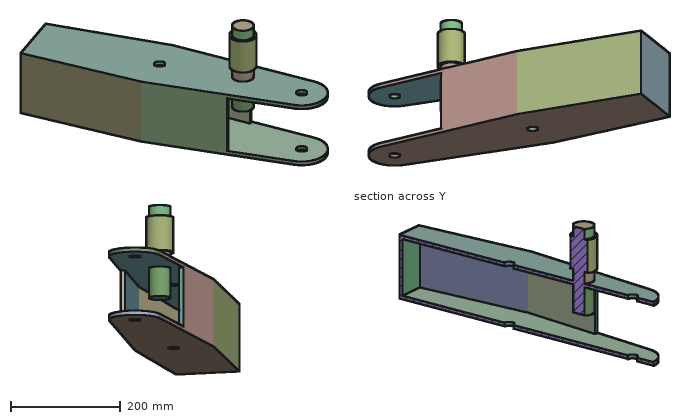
import cadquery as cq
import math


rear_half_width = 60.0
widest_x = 245.5
widest_half_width = 74.5
nose_radius = 48.0
pivot_hole_x = 251.0
arm_length = 580.82
nose_x = arm_length - nose_radius

plate_thickness = 8.0
wall_thickness = 8.0
plate_gap = 110.0
arm_height = plate_gap + 2 * plate_thickness
wall_end_x = 409.0
hole_diameter = 20.0

pin_x = 410.0
pin_y = 15.0
pin_diameter = 40.0
pin_length = 170.0
pin_top_z = 233.0
sleeve_diameter = 50.0
sleeve_length = 65.0
pin_tip_length = 20.0
sleeve_top_z = pin_top_z - pin_tip_length


def nose_tangent_point():
    """Upper point where the line from the widest corner touches the nose arc."""
    dx = widest_x - nose_x
    to_corner = math.atan2(widest_half_width, dx)
    spread = math.acos(nose_radius / math.hypot(dx, widest_half_width))
    angle = to_corner - spread
    return nose_x + nose_radius * math.cos(angle), nose_radius * math.sin(angle)


def arm_outline(base_z):
    """Closed outline of the arm at height base_z."""
    tangent_x, tangent_y = nose_tangent_point()
    return (
        cq.Workplane("XY", origin=(0, 0, base_z))
        .moveTo(0, -rear_half_width)
        .lineTo(widest_x, -widest_half_width)
        .lineTo(tangent_x, -tangent_y)
        .threePointArc((arm_length, 0), (tangent_x, tangent_y))
        .lineTo(widest_x, widest_half_width)
        .lineTo(0, rear_half_width)
        .close()
    )


def cavity():
    """Space inside the side and rear walls, between the plates."""
    return arm_outline(plate_thickness).offset2D(-wall_thickness).extrude(plate_gap)


def fork_slot():
    """Full-width gap between the plates, ahead of the side walls."""
    return cq.Workplane("XY", origin=(wall_end_x, 0, plate_thickness)).box(
        arm_length - wall_end_x,
        2 * widest_half_width,
        plate_gap,
        centered=(False, True, False),
    )


def plate_holes():
    """One pivot hole and one nose hole, each through both plates."""
    return (
        cq.Workplane("XY")
        .pushPoints([(pivot_hole_x, 0), (nose_x, 0)])
        .circle(hole_diameter / 2)
        .extrude(arm_height)
    )


def pin_cylinder(diameter, length, top_z):
    """Vertical cylinder on the pin axis, reaching down from top_z."""
    return (
        cq.Workplane("XY", origin=(pin_x, pin_y, top_z - length))
        .circle(diameter / 2)
        .extrude(length)
    )


arm = arm_outline(0).extrude(arm_height)
arm = arm.cut(cavity()).cut(fork_slot()).cut(plate_holes())

pin = pin_cylinder(pin_diameter, pin_length, pin_top_z)
sleeve = pin_cylinder(sleeve_diameter, sleeve_length, sleeve_top_z)

result = arm.union(pin).union(sleeve)